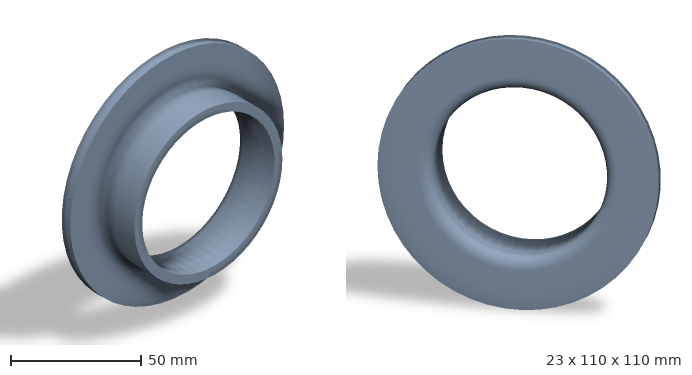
import cadquery as cq

flange_diameter = 110.0
flange_thickness = 5.0
tube_outer_diameter = 76.1
bore_diameter = 68.1
total_length = 23.0
mouth_radius = flange_thickness
root_radius = 3.0

flange_radius = flange_diameter / 2
tube_radius = tube_outer_diameter / 2
bore_radius = bore_diameter / 2


def half_section():
    """Closed outline of the wall above the axis, with X along the axis and Y as the radius."""
    return (
        cq.Workplane("XY")
        .moveTo(0, bore_radius + mouth_radius)
        .lineTo(0, flange_radius)
        .lineTo(flange_thickness, flange_radius)
        .lineTo(flange_thickness, tube_radius + root_radius)
        .tangentArcPoint((root_radius, -root_radius))
        .lineTo(total_length, tube_radius)
        .lineTo(total_length, bore_radius)
        .lineTo(mouth_radius, bore_radius)
        .tangentArcPoint((-mouth_radius, mouth_radius))
        .close()
    )


result = half_section().revolve(360, (0, 0, 0), (1, 0, 0))